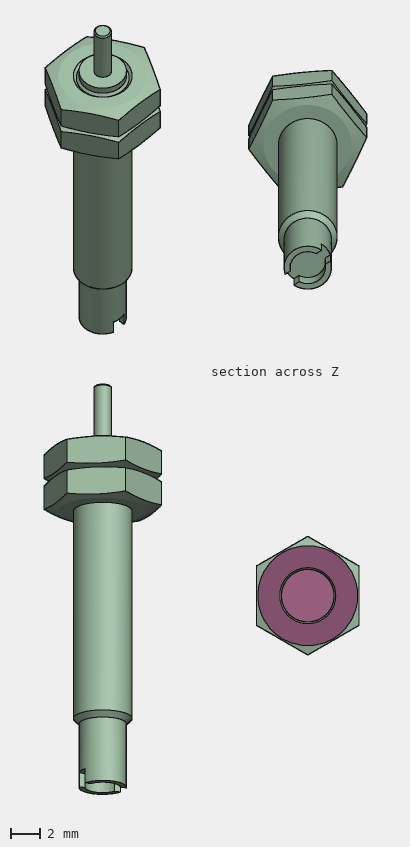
import cadquery as cq
import math

total_height = 28.6
shoulder_top_z = 24.6
nut_stack_top_z = 24.1

nut_count = 2
nut_height = 2.2
nut_across_flats = 7.0
nut_face_diameter = 6.0
nut_chamfer_angle = 15
nut_hole_diameter = 3.6
nut_stack_bottom_z = nut_stack_top_z - nut_count * nut_height

barrel_diameter = 4.0
end_diameter = 3.23
rod_diameter = 1.2
rod_chamfer = 0.1
barrel_bottom_z = 4.52
barrel_chamfer = (barrel_diameter - end_diameter) / 2
hole_chamfer = (barrel_diameter - nut_hole_diameter) / 2
core_chamfer = (nut_hole_diameter - end_diameter) / 2
core_top_z = nut_stack_top_z - hole_chamfer

slot_width = 1.0
slot_depth = 1.0
tail_bore_diameter = 2.4


def make_shaft():
    """Revolved barrel and rod, bored and slotted at the bottom."""
    barrel_radius = barrel_diameter / 2
    core_radius = nut_hole_diameter / 2
    end_radius = end_diameter / 2
    rod_radius = rod_diameter / 2
    shaft = (
        cq.Workplane("XZ")
        .polyline([
            (0, 0),
            (end_radius, 0),
            (end_radius, barrel_bottom_z),
            (barrel_radius, barrel_bottom_z + barrel_chamfer),
            (barrel_radius, nut_stack_bottom_z),
            (core_radius, nut_stack_bottom_z),
            (core_radius, core_top_z),
            (end_radius, core_top_z + core_chamfer),
            (end_radius, shoulder_top_z),
            (rod_radius, shoulder_top_z),
            (rod_radius, total_height - rod_chamfer),
            (rod_radius - rod_chamfer, total_height),
            (0, total_height),
        ])
        .close()
        .revolve(360, (0, 0, 0), (0, 1, 0))
    )
    bore = cq.Workplane("XY").circle(tail_bore_diameter / 2).extrude(slot_depth)
    slot = cq.Workplane("XY").rect(end_diameter, slot_width).extrude(slot_depth)
    return shaft.cut(bore).cut(slot)


def make_nut(bottom_z):
    """Hexagonal nut with corners along Y and conical chamfers outside and at the hole."""
    corner_radius = nut_across_flats / math.sqrt(3)
    face_radius = nut_face_diameter / 2
    corner_drop = (corner_radius - face_radius) * math.tan(math.radians(nut_chamfer_angle))
    hexagon = (
        cq.Workplane("XY")
        .polygon(6, 2 * corner_radius)
        .extrude(nut_height)
        .rotate((0, 0, 0), (0, 0, 1), 90)
    )
    chamfer_envelope = (
        cq.Workplane("XZ")
        .polyline([
            (0, 0),
            (face_radius, 0),
            (corner_radius, corner_drop),
            (corner_radius, nut_height - corner_drop),
            (face_radius, nut_height),
            (0, nut_height),
        ])
        .close()
        .revolve(360, (0, 0, 0), (0, 1, 0))
    )
    hole = (
        cq.Workplane("XZ")
        .polyline([
            (0, 0),
            (barrel_diameter / 2, 0),
            (nut_hole_diameter / 2, hole_chamfer),
            (nut_hole_diameter / 2, nut_height - hole_chamfer),
            (barrel_diameter / 2, nut_height),
            (0, nut_height),
        ])
        .close()
        .revolve(360, (0, 0, 0), (0, 1, 0))
    )
    return hexagon.intersect(chamfer_envelope).cut(hole).translate((0, 0, bottom_z))


shaft = make_shaft()
nuts = [make_nut(nut_stack_bottom_z + index * nut_height) for index in range(nut_count)]

result = cq.Compound.makeCompound([shaft.val(), *[nut.val() for nut in nuts]])